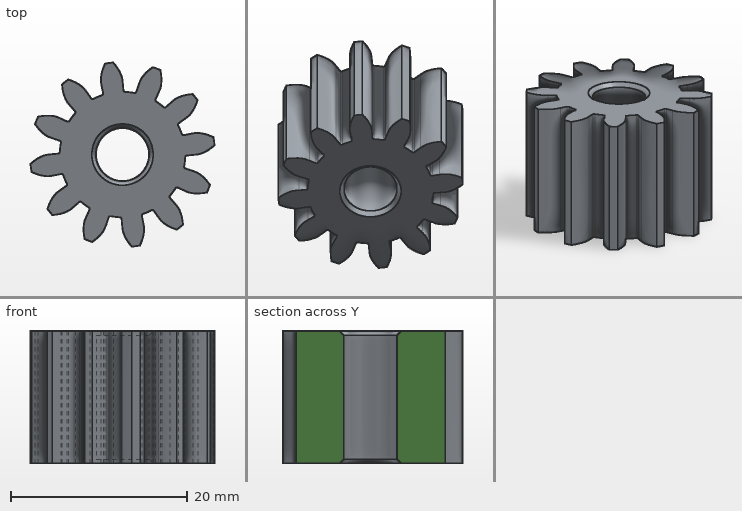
import cadquery as cq
import math

TOOTH_COUNT = 12
OUTER_SIZE = 20.9
PRESSURE_ANGLE = math.radians(20)
DEDENDUM_FACTOR = 1.25
FACE_WIDTH = 15.0
TOOTH_PHASE = 8.35
FLANK_START_RADIUS = 8.13
FLANK_START_WIDTH = 2.45
ROOT_TOOTH_WIDTH = 2.35
ROOT_FILLET = 0.19
FOOT_DEPTH = 0.73
FLANK_STEPS = 8

BORE_DIAMETER = 6.0
BORE_CHAMFER = 0.48
RADIUS_TOLERANCE = 0.002


def involute(angle):
    return math.tan(angle) - angle


def tooth_half_angle(local_pressure_angle):
    """Half of the angle a tooth spans where its involute has this pressure angle."""
    pitch_half_angle = math.pi / (2 * TOOTH_COUNT)
    return pitch_half_angle + involute(PRESSURE_ANGLE) - involute(local_pressure_angle)


tip_pressure_angle = math.acos(TOOTH_COUNT / (TOOTH_COUNT + 2) * math.cos(PRESSURE_ANGLE))
tip_corner_angle = math.radians(TOOTH_PHASE) - tooth_half_angle(tip_pressure_angle)
tip_radius = OUTER_SIZE / 2 / math.cos(tip_corner_angle)
module = 2 * tip_radius / (TOOTH_COUNT + 2)
pitch_radius = module * TOOTH_COUNT / 2
base_radius = pitch_radius * math.cos(PRESSURE_ANGLE)
root_radius = pitch_radius - DEDENDUM_FACTOR * module


def polar(radius, angle):
    return (radius * math.cos(angle), radius * math.sin(angle))


def edge_point(radius, tooth_width):
    """Upper edge, at a radius, of a tooth of the given width on the X axis."""
    half_width = tooth_width / 2
    return (math.sqrt(radius ** 2 - half_width ** 2), half_width)


def flank_points():
    """Upper curved flank of a tooth on the X axis: its start, then an involute to the tip."""
    tip_roll = math.tan(tip_pressure_angle)
    points = [edge_point(FLANK_START_RADIUS, FLANK_START_WIDTH)]
    for step in range(1, FLANK_STEPS + 1):
        roll = tip_roll * step / FLANK_STEPS
        radius = base_radius * math.sqrt(1 + roll ** 2)
        points.append(polar(radius, tooth_half_angle(math.atan(roll))))
    return points


def make_tooth():
    """One tooth on the X axis, with its foot sunk inside the root circle."""
    upper_flank = flank_points()
    lower_flank = [(x, -y) for x, y in upper_flank]
    shoulder_x, half_width = edge_point(root_radius, ROOT_TOOTH_WIDTH)
    foot_x = root_radius - FOOT_DEPTH
    return (
        cq.Workplane("XY")
        .moveTo(foot_x, -half_width)
        .lineTo(shoulder_x, -half_width)
        .lineTo(*lower_flank[0])
        .spline(lower_flank[1:], includeCurrent=True)
        .threePointArc((tip_radius, 0), upper_flank[-1])
        .spline(upper_flank[-2::-1], includeCurrent=True)
        .lineTo(shoulder_x, half_width)
        .lineTo(foot_x, half_width)
        .close()
        .extrude(FACE_WIDTH)
    )


def make_toothed_blank():
    blank = cq.Workplane("XY").circle(root_radius).extrude(FACE_WIDTH)
    tooth = make_tooth()
    for index in range(TOOTH_COUNT):
        turn = TOOTH_PHASE + index * 360 / TOOTH_COUNT
        blank = blank.union(tooth.rotate((0, 0, 0), (0, 0, 1), turn))
    return blank


def fillet_roots(blank):
    """Round the corners where the flanks meet the root circle."""
    reach = root_radius + ROOT_FILLET
    edges = blank.edges("|Z").filter(
        lambda edge: math.hypot(edge.Center().x, edge.Center().y) < reach
    )
    return edges.fillet(ROOT_FILLET)


def cut_bore(blank):
    """Through bore with a 45 degree lead-in at both ends."""
    bored = blank.faces(">Z").workplane(origin=(0, 0, 0)).hole(BORE_DIAMETER)
    rims = bored.edges("%CIRCLE").filter(
        lambda edge: math.isclose(edge.radius(), BORE_DIAMETER / 2, abs_tol=RADIUS_TOLERANCE)
    )
    return rims.chamfer(BORE_CHAMFER)


result = cut_bore(fillet_roots(make_toothed_blank()))